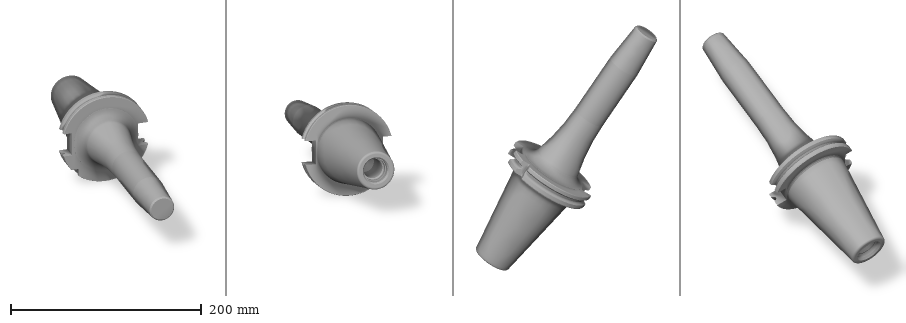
import cadquery as cq
import math

total_length = 301.5
gauge_plane = 101.5
flange_back = 104.7
flange_front = 120.5

gauge_radius = 35.0
taper_slope = 7 / 48
small_end_radius = gauge_radius - gauge_plane * taper_slope
small_end_fillet = 2.5
relief_radius = 34.0
relief_chamfer = gauge_radius - relief_radius
relief_corner_chamfer = 1.0

flange_diameter = 97.5
flange_radius = flange_diameter / 2
flange_chamfer_length = 1.0
flange_chamfer_drop = 0.45
groove_center = 112.8
groove_floor_width = 2.5
groove_depth = 3.5
groove_half_angle = 30
groove_floor_radius = flange_radius - groove_depth
groove_half_floor = groove_floor_width / 2
groove_half_mouth = groove_half_floor + groove_depth * math.tan(math.radians(groove_half_angle))

slot_width = 25.5
slot_floor_plus_y = 35.3
slot_floor_minus_y = 37.7
notch_offset = 30.0
notch_fillet = 1.2

boss_face = 121.0
flare_start = 129.0
flare_start_radius = 25.0
neck_start = 190.0
neck_diameter = 34.0
neck_radius = neck_diameter / 2
nose_start = 257.3
nose_angle = 4.5
nose_chamfer = 1.5
nose_end = total_length - nose_chamfer
nose_end_radius = neck_radius - (nose_end - nose_start) * math.tan(math.radians(nose_angle))

mouth_radius = 14.5
counterbore_radius = 13.0
mouth_depth = 2.5
counterbore_depth = 7.2
thread_radius = 12.0
thread_chamfer_start = 11.5
bore_radius = 10.5
thread_chamfer_end = thread_chamfer_start + thread_radius - bore_radius
bore_depth = 45.2
drill_point_angle = 118
drill_tip_length = bore_radius / math.tan(math.radians(drill_point_angle / 2))


def tangent_arc_middle(start, end):
    """Middle point of the concave arc from start to end that runs out parallel to X at end."""
    run = end[0] - start[0]
    drop = start[1] - end[1]
    radius = (run**2 + drop**2) / (2 * drop)
    half_angle = math.asin(run / radius) / 2
    return (
        end[0] - radius * math.sin(half_angle),
        end[1] + radius * (1 - math.cos(half_angle)),
    )


def revolve_about_x(profile):
    return profile.close().revolve(360, (0, 0, 0), (1, 0, 0))


def make_body():
    flare_top = (flare_start, flare_start_radius)
    flare_end = (neck_start, neck_radius)
    flare_middle = tangent_arc_middle(flare_top, flare_end)
    flare_slope = 2 * math.atan2(flare_start_radius - neck_radius, neck_start - flare_start)
    fillet_radius = (flare_start - boss_face) / (1 - math.sin(flare_slope))
    fillet_center_x = boss_face + fillet_radius
    fillet_center_y = flare_start_radius + fillet_radius * math.cos(flare_slope)
    fillet_half_angle = (math.pi / 2 - flare_slope) / 2
    fillet_middle = (
        fillet_center_x - fillet_radius * math.cos(fillet_half_angle),
        fillet_center_y - fillet_radius * math.sin(fillet_half_angle),
    )
    profile = (
        cq.Workplane("XY")
        .moveTo(0, 0)
        .lineTo(0, small_end_radius)
        .lineTo(gauge_plane, gauge_radius)
        .lineTo(gauge_plane + relief_chamfer, relief_radius)
        .lineTo(flange_back - relief_corner_chamfer, relief_radius)
        .lineTo(flange_back, relief_radius + relief_corner_chamfer)
        .lineTo(flange_back, flange_radius - flange_chamfer_drop)
        .lineTo(flange_back + flange_chamfer_length, flange_radius)
        .lineTo(groove_center - groove_half_mouth, flange_radius)
        .lineTo(groove_center - groove_half_floor, groove_floor_radius)
        .lineTo(groove_center + groove_half_floor, groove_floor_radius)
        .lineTo(groove_center + groove_half_mouth, flange_radius)
        .lineTo(flange_front - flange_chamfer_length, flange_radius)
        .lineTo(flange_front, flange_radius - flange_chamfer_drop)
        .lineTo(flange_front, fillet_center_y)
        .lineTo(boss_face, fillet_center_y)
        .threePointArc(fillet_middle, flare_top)
        .threePointArc(flare_middle, flare_end)
        .lineTo(nose_start, neck_radius)
        .lineTo(nose_end, nose_end_radius)
        .lineTo(total_length, nose_end_radius - nose_chamfer)
        .lineTo(total_length, 0)
    )
    return revolve_about_x(profile).faces("<X").edges().fillet(small_end_fillet)


def make_bore():
    profile = (
        cq.Workplane("XY")
        .moveTo(0, 0)
        .lineTo(0, mouth_radius)
        .lineTo(mouth_depth, counterbore_radius)
        .lineTo(counterbore_depth, counterbore_radius)
        .lineTo(counterbore_depth, thread_radius)
        .lineTo(thread_chamfer_start, thread_radius)
        .lineTo(thread_chamfer_end, bore_radius)
        .lineTo(bore_depth, bore_radius)
        .lineTo(bore_depth + drill_tip_length, 0)
    )
    return revolve_about_x(profile)


def flange_cutter(y_start, y_size, z_start, z_size):
    """Block spanning the flange thickness, from one YZ corner."""
    thickness = flange_front - flange_back
    return cq.Workplane("XY").box(thickness, y_size, z_size, centered=False).translate(
        (flange_back, y_start, z_start)
    )


def make_drive_slots():
    plus_slot = flange_cutter(slot_floor_plus_y, flange_radius, -slot_width / 2, slot_width)
    minus_slot = flange_cutter(-slot_floor_minus_y - flange_radius, flange_radius, -slot_width / 2, slot_width)
    return plus_slot.union(minus_slot)


def make_notch():
    far_corner = -notch_offset - flange_radius
    block = flange_cutter(far_corner, flange_radius, far_corner, flange_radius)
    return block.edges("|X and >Y and >Z").fillet(notch_fillet)


result = make_body().cut(make_bore()).cut(make_drive_slots()).cut(make_notch())